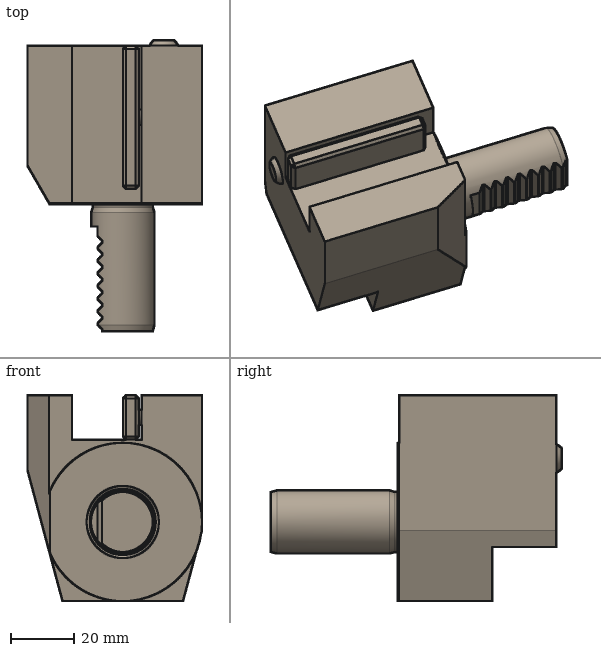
import cadquery as cq
import math


overall_length = 91.9

flange_radius = 25.0
body_left = -30.05
body_right = flange_radius
body_top = 40.0
body_bottom = -flange_radius
body_rear = 50.2
flange_thickness = 0.55
foot_half_width = 19.0
side_slope = math.radians(15)

bevel_start = 12.2
bevel_angle = math.radians(30)

slot_left = -16.0
slot_right = 6.0
slot_floor = 26.0
step_front = 30.0
step_ceiling = -7.9

bar_width = 5.05
bar_front = 5.0
bar_rear = 50.1
bar_chamfer = 1.0
screw_diameter = 5.0
screw_y = 27.6

shank_radius = 10.0
shank_length = 40.0
neck_radius = 9.6
neck_length = 0.9
lead_in_end = 2.5
tip_chamfer_length = 2.0
tip_radius = 9.5

rack_flat = 8.0
tooth_depth = 1.5
rack_start = 6.9
tooth_count = 8
first_root = 11.7
last_root = 39.6
tooth_pitch = (last_root - first_root) / (tooth_count - 1)
root_width = 0.6

recess_radius = 11.4
recess_depth = 0.5
neck_fillet = 0.87

button_x = 13.0
button_z = 20.0
button_height = overall_length - shank_length - body_rear
button_base_diameter = 9.0
button_top_diameter = 6.3


def box_between(low, high):
    """Box with its edges along the axes, given two opposite corners."""
    sizes = [b - a for a, b in zip(low, high)]
    return cq.Workplane("XY").box(*sizes, centered=False).translate(low)


def turned(profile):
    """Revolve a half profile of (radius, y) points about the Y axis."""
    return cq.Workplane("XY").polyline(profile).close().revolve(360, (0, 0, 0), (0, 1, 0))


def make_body():
    """Slotted block with tapered sides, round flange, rear step and corner bevel."""
    left_slope_top = body_bottom + (-foot_half_width - body_left) / math.tan(side_slope)
    right_slope_top = body_bottom + (body_right - foot_half_width) / math.tan(side_slope)
    outline = [
        (body_left, body_top),
        (slot_left, body_top),
        (slot_left, slot_floor),
        (slot_right, slot_floor),
        (slot_right, body_top),
        (body_right, body_top),
        (body_right, right_slope_top),
        (foot_half_width, body_bottom),
        (-foot_half_width, body_bottom),
        (body_left, left_slope_top),
    ]
    block = (
        cq.Workplane("XZ", origin=(0, flange_thickness, 0))
        .polyline(outline)
        .close()
        .extrude(flange_thickness - body_rear)
    )
    flange = cq.Workplane("XZ").circle(flange_radius).extrude(-flange_thickness)
    rear_step = box_between(
        (body_left, step_front, body_bottom), (body_right, body_rear, step_ceiling)
    )
    bevel = (
        cq.Workplane("XY", origin=(0, 0, body_bottom))
        .polyline([
            (body_left, bevel_start),
            (body_left, 0),
            (body_left + bevel_start * math.tan(bevel_angle), 0),
        ])
        .close()
        .extrude(body_top - body_bottom)
    )
    return block.union(flange).cut(rear_step).cut(bevel)


def make_seal_recess():
    """Ring recess in the mounting face, sloping inward to the foot of the neck fillet."""
    return turned([
        (neck_radius, 0),
        (recess_radius, 0),
        (neck_radius + neck_fillet, recess_depth),
        (neck_radius, recess_depth),
    ])


def make_neck_fillet():
    """Ring with a concave quarter-round face between the recess floor and the neck."""
    start = (neck_radius + neck_fillet, recess_depth)
    end = (neck_radius, recess_depth - neck_fillet)
    inset = neck_fillet * (1 - math.sqrt(0.5))
    middle = (neck_radius + inset, recess_depth - inset)
    return (
        cq.Workplane("XY")
        .moveTo(*start)
        .threePointArc(middle, end)
        .lineTo(neck_radius, recess_depth)
        .close()
        .revolve(360, (0, 0, 0), (0, 1, 0))
    )


def make_clamping_bar():
    """Bar standing on the slot floor, bevelled on every edge."""
    bar = box_between((0, bar_front, slot_floor), (bar_width, bar_rear, body_top))
    return bar.edges().chamfer(bar_chamfer)


def make_clamping_screw():
    """Pin from the face of the bar to the right wall of the slot."""
    screw_z = (slot_floor + body_top) / 2
    return (
        cq.Workplane("YZ", origin=(0, screw_y, screw_z))
        .circle(screw_diameter / 2)
        .extrude(slot_right)
    )


def make_shank():
    """Round shank with a thinner neck, a conical lead-in and a conical tip."""
    return turned([
        (0, 0),
        (neck_radius, 0),
        (neck_radius, -neck_length),
        (shank_radius, -lead_in_end),
        (shank_radius, tip_chamfer_length - shank_length),
        (tip_radius, -shank_length),
        (0, -shank_length),
    ])


def make_rack_cutter():
    """Material removed from the -X side of the shank: a flat and its V grooves."""
    cutter = box_between(
        (-shank_radius, -shank_length, -shank_radius), (-rack_flat, -rack_start, shank_radius)
    )
    half_root = root_width / 2
    half_mouth = half_root + tooth_depth
    for index in range(tooth_count):
        root_y = -first_root - index * tooth_pitch
        v_groove = (
            cq.Workplane("XY", origin=(0, 0, -shank_radius))
            .polyline([
                (-rack_flat, root_y - half_mouth),
                (-rack_flat + tooth_depth, root_y - half_root),
                (-rack_flat + tooth_depth, root_y + half_root),
                (-rack_flat, root_y + half_mouth),
            ])
            .close()
            .extrude(2 * shank_radius)
        )
        cutter = cutter.union(v_groove)
    return cutter


def make_button():
    """Slice of a sphere: centred below the rear face, cut flat on top."""
    base_radius = button_base_diameter / 2
    top_radius = button_top_diameter / 2
    centre_depth = (base_radius**2 - top_radius**2 - button_height**2) / (2 * button_height)
    sphere_radius = math.hypot(base_radius, centre_depth)
    sphere = cq.Workplane("XY").sphere(sphere_radius).translate((0, -centre_depth, 0))
    slab = cq.Workplane("XZ").circle(base_radius).extrude(-button_height)
    return sphere.intersect(slab).translate((button_x, body_rear, button_z))


shank = make_shank().cut(make_rack_cutter())
result = (
    make_body()
    .cut(make_seal_recess())
    .union(shank)
    .union(make_neck_fillet())
    .union(make_clamping_bar())
    .union(make_clamping_screw())
    .union(make_button())
)